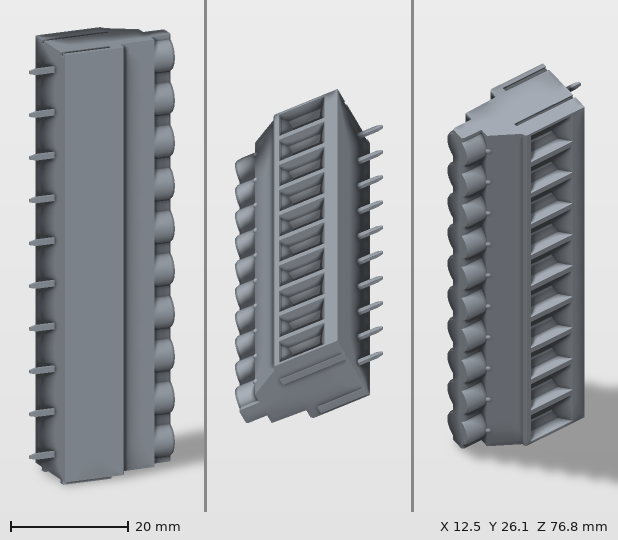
import cadquery as cq

CELL_COUNT = 10
TOTAL_HEIGHT = 76.8
RIB_HEIGHT = 0.6
BODY_HEIGHT = TOTAL_HEIGHT - RIB_HEIGHT
PITCH = BODY_HEIGHT / CELL_COUNT

WIDTH = 12.5
TOTAL_DEPTH = 26.1
PIN_LENGTH = 4.6
BODY_TOP = TOTAL_DEPTH - PIN_LENGTH
SHOULDER_Y = 17.6
ENTRY_TOP_Y = 12.4
ENTRY_CHAMFER = 0.4
SLOPE_START_X = 0.8
SLOPE_END_X = 3.8
BACK_STEP_Y = 11.1
BACK_STEP_X = 10.5
BACK_TOP_X = 10.3
BACK_CHAMFER = 0.4
WALL_LEFT_X = 5.5
WALL_RIGHT_X = 8.5

TOWER_RADIUS = 3.2
TOWER_X = BACK_TOP_X - TOWER_RADIUS

BEVEL_INSET = 0.2
BEVEL_DEPTH = 0.45

NUB_RADIUS = 0.5
NUB_X = 3.85
NUB_Y = 17.35

ENTRY_LOW_Y = 2.45
ENTRY_HIGH_Y = 11.1
ENTRY_HEIGHT = 6.45
THROAT_LOW_Y = 4.8
THROAT_HIGH_Y = 9.75
THROAT_HEIGHT = 3.7
ENTRY_STRAIGHT = 0.9
FUNNEL_START_X = 2.0
THROAT_X = 2.7
THROAT_END_X = 3.15

RIBS = [
    (3.15, 12.2, 0.7, 1.15),
    (11.1, 9.0, 0.9, 1.4),
]

PIN_X = 8.0
PIN_WIDTH = 0.6
PIN_HEIGHT = 1.0
PIN_TIP_LENGTH = 1.1
PIN_TIP_WIDTH = 0.4
PIN_TIP_HEIGHT = 0.5
PIN_ROOT = 0.8


def make_housing():
    outline = [
        (0, 0),
        (WIDTH, 0),
        (WIDTH, BACK_STEP_Y - BACK_CHAMFER),
        (WIDTH - BACK_CHAMFER, BACK_STEP_Y),
        (BACK_STEP_X, BACK_STEP_Y),
        (BACK_TOP_X, SHOULDER_Y),
        (WALL_RIGHT_X, SHOULDER_Y),
        (WALL_RIGHT_X, BODY_TOP - BEVEL_DEPTH),
        (WALL_RIGHT_X - BEVEL_INSET, BODY_TOP),
        (WALL_LEFT_X + BEVEL_INSET, BODY_TOP),
        (WALL_LEFT_X, BODY_TOP - BEVEL_DEPTH),
        (WALL_LEFT_X, SHOULDER_Y),
        (SLOPE_END_X, SHOULDER_Y),
        (SLOPE_START_X, ENTRY_TOP_Y),
        (ENTRY_CHAMFER, ENTRY_TOP_Y),
        (0, ENTRY_TOP_Y - ENTRY_CHAMFER),
    ]
    return cq.Workplane("XY").polyline(outline).close().extrude(BODY_HEIGHT)


def make_tower(z):
    """A round post with a bevelled top, turned about an axis along Y."""
    half_section = [
        (0, SHOULDER_Y),
        (TOWER_RADIUS, SHOULDER_Y),
        (TOWER_RADIUS, BODY_TOP - BEVEL_DEPTH),
        (TOWER_RADIUS - BEVEL_INSET, BODY_TOP),
        (0, BODY_TOP),
    ]
    section = cq.Workplane("XY", origin=(TOWER_X, 0, z)).polyline(half_section).close()
    return section.revolve(360, (0, 0), (0, 1))


def make_nub(z):
    return cq.Workplane("XY", origin=(NUB_X, NUB_Y, z)).sphere(NUB_RADIUS)


def make_wire_entry(z):
    """The void common to a funnel narrowing in Y and a funnel narrowing in Z."""
    plan = [
        (0, ENTRY_LOW_Y),
        (THROAT_X, THROAT_LOW_Y),
        (THROAT_END_X, THROAT_LOW_Y),
        (THROAT_END_X, THROAT_HIGH_Y),
        (THROAT_X, THROAT_HIGH_Y),
        (ENTRY_STRAIGHT, ENTRY_HIGH_Y),
        (0, ENTRY_HIGH_Y),
    ]
    half_entry = ENTRY_HEIGHT / 2
    half_throat = THROAT_HEIGHT / 2
    profile = [
        (0, -half_entry),
        (FUNNEL_START_X, -half_entry),
        (THROAT_X, -half_throat),
        (THROAT_END_X, -half_throat),
        (THROAT_END_X, half_throat),
        (THROAT_X, half_throat),
        (FUNNEL_START_X, half_entry),
        (0, half_entry),
    ]
    plan_sketch = cq.Workplane("XY", origin=(0, 0, z)).polyline(plan).close()
    profile_sketch = cq.Workplane("XZ", origin=(0, 0, z)).polyline(profile).close()
    narrowing_y = plan_sketch.extrude(half_entry, both=True)
    narrowing_z = profile_sketch.extrude(-ENTRY_HIGH_Y)
    return narrowing_y.intersect(narrowing_z)


def make_pin(z):
    shank_end = PIN_TIP_LENGTH - PIN_LENGTH
    shank = (
        cq.Workplane("XZ", origin=(PIN_X, PIN_ROOT, z))
        .rect(PIN_WIDTH, PIN_HEIGHT)
        .extrude(PIN_ROOT - shank_end)
    )
    tip = (
        cq.Workplane("XZ", origin=(PIN_X, shank_end, z))
        .rect(PIN_WIDTH, PIN_HEIGHT)
        .workplane(offset=PIN_TIP_LENGTH)
        .rect(PIN_TIP_WIDTH, PIN_TIP_HEIGHT)
        .loft()
    )
    return shank.union(tip)


def make_rib(centre_x, length, root_width, tip_width, root_z):
    """A dovetail bar hanging below root_z, starting at the solder face."""
    section = [
        (-root_width / 2, 0),
        (root_width / 2, 0),
        (tip_width / 2, -RIB_HEIGHT),
        (-tip_width / 2, -RIB_HEIGHT),
    ]
    return cq.Workplane("XZ", origin=(centre_x, 0, root_z)).polyline(section).close().extrude(-length)


result = make_housing()

for cell in range(CELL_COUNT):
    cell_z = (cell + 0.5) * PITCH
    result = result.union(make_tower(cell_z)).union(make_nub(cell_z)).union(make_pin(cell_z))
    result = result.cut(make_wire_entry(cell_z))

for rib in RIBS:
    result = result.cut(make_rib(*rib, BODY_HEIGHT))
    result = result.union(make_rib(*rib, 0))